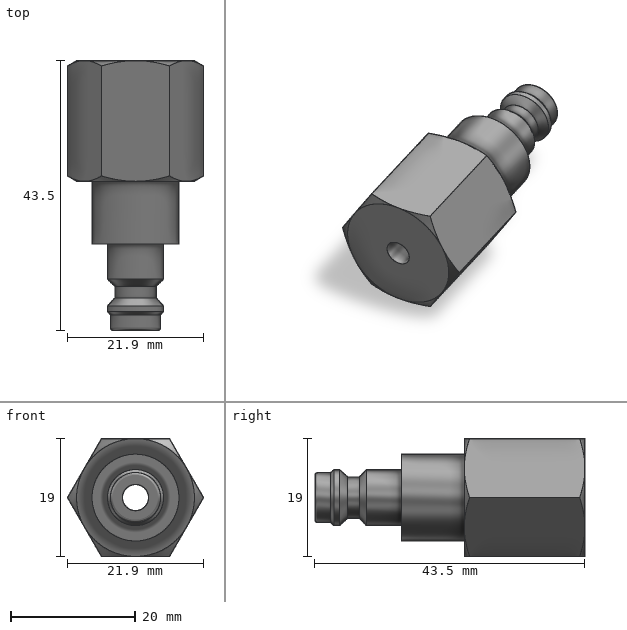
import cadquery as cq
import math

total_length = 43.5
across_flats = 19.0
hex_length = 19.45
hex_chamfer_angle = 30.0

collar_front = 13.9
groove_rear_edge = 8.25
groove_floor_rear = 7.15
groove_floor_front = 5.25
groove_front_edge = 3.95
rim_front = 3.05
nose_rear = 2.52

collar_radius = 7.0
shank_radius = 4.52
groove_radius = 3.35
nose_radius = 4.05
nose_fillet = 0.45
bore_radius = 2.1

corner_radius = across_flats / math.sqrt(3)
flat_radius = across_flats / 2
hex_front = total_length - hex_length


def revolve_about_y(points):
    """Turn a closed (radius, y) outline around the Y axis."""
    return cq.Workplane("XY").polyline(points).close().revolve(360, (0, 0, 0), (0, 1, 0))


def make_hexagon():
    """Hexagon with corners on X, its ends trimmed by cones that touch the flats."""
    prism = (
        cq.Workplane("XZ", origin=(0, hex_front, 0))
        .polygon(6, 2 * corner_radius)
        .extrude(-hex_length)
    )
    cone_radius = 1.2 * corner_radius
    cone_depth = (cone_radius - flat_radius) * math.tan(math.radians(hex_chamfer_angle))
    envelope = revolve_about_y([
        (0, hex_front),
        (flat_radius, hex_front),
        (cone_radius, hex_front + cone_depth),
        (cone_radius, total_length - cone_depth),
        (flat_radius, total_length),
        (0, total_length),
    ])
    return prism.intersect(envelope)


def make_plug():
    """Collar and grooved plug, with a rounded edge at the tip."""
    plug = revolve_about_y([
        (0, 0),
        (nose_radius, 0),
        (nose_radius, nose_rear),
        (shank_radius, rim_front),
        (shank_radius, groove_front_edge),
        (groove_radius, groove_floor_front),
        (groove_radius, groove_floor_rear),
        (shank_radius, groove_rear_edge),
        (shank_radius, collar_front),
        (collar_radius, collar_front),
        (collar_radius, hex_front),
        (0, hex_front),
    ])
    return plug.faces("<Y").edges().fillet(nose_fillet)


def make_bore():
    """Straight bore through the whole length."""
    return cq.Workplane("XZ").circle(bore_radius).extrude(-total_length)


body = make_hexagon().union(make_plug()).cut(make_bore())
result = body.translate((0, -total_length / 2, 0))